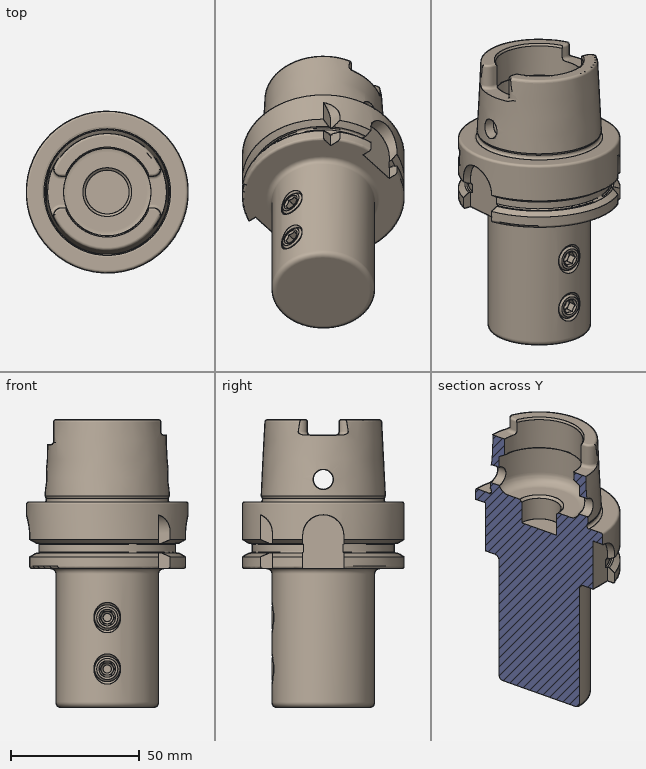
import cadquery as cq
import math


shank_height = 32.0
flange_thickness = 26.0
body_length = 80.0

gauge_radius = 24.0
gauge_height = 6.3
taper_slope = 0.05
taper_start = 2.2
rim_fillet = 1.1

neck_radius = 23.75
neck_top = 1.4
undercut_depth = 0.2
undercut_fillet = 0.9
undercut_rim_radius = 25.4

flange_radius = 31.5
flange_fillet = 1.0
groove_center_z = -18.0
groove_mouth = 6.75
groove_throat = 3.8
groove_throat_radius = 29.0
groove_floor_radius = 27.7
groove_fillet = 0.5

body_radius = 20.0
body_fillet = 2.0
body_neck_fillet = 2.0

bore_lip_radius = 17.0
bore_lip_bottom = 18.9
bore_chamfer = 0.5
bore_chamfer_height = 0.9
bore_recess_radius = 19.85
bore_recess_slope = 30.0
bore_floor_z = 2.1
bore_floor_fillet = 4.3
coolant_hole_radius = 8.5
coolant_hole_chamfer = 1.0
coolant_hole_depth = 10.0

drive_slot_width = 12.3
drive_slot_depth_left = 9.7
drive_slot_depth_right = 6.0
drive_slot_lead_radius = 3.0
drive_slot_outer_radius = 23.05
drive_slot_runout = 5.0
drive_slot_floor_fillet = 1.3
drive_slot_mouth_fillet = 0.9

access_hole_diameter = 7.7
access_hole_z = 8.75

keyway_width_left = 18.2
keyway_width_right = 16.0
keyway_top_z = -5.0
keyway_floor = 26.6
notch_floor_x = 19.94
notch_wall_y = -19.8
notch_radius = 7.6
notch_arch_z = -12.0
chip_pocket_length = 20.0
chip_pocket_height = 6.0
chip_pocket_top_z = -4.0
chip_pocket_floor = 29.87
chip_pocket_direction = 135.0

screw_levels = (-45.0, -65.0)
screw_radius = 4.95
screw_length = 6.0
screw_chamfer = 0.85
countersink_radius = 5.9
hex_across_flats = 4.85
hex_depth = 4.0
hex_lead_radius = 3.2
hex_bottom_radius = 1.6

clearance = 5.0
SMALL = 0.01


def taper_radius(z):
    return gauge_radius - taper_slope * (z - gauge_height)


def shank():
    """Solid taper with the undercut at its foot, standing on the flange."""
    foot_z = -undercut_depth
    fillet_end_radius = neck_radius + undercut_fillet
    fillet_center = (fillet_end_radius, foot_z + undercut_fillet)
    diagonal = undercut_fillet * math.sqrt(0.5)
    profile = (
        cq.Workplane("YZ")
        .moveTo(0, -1)
        .lineTo(fillet_end_radius, -1)
        .lineTo(fillet_end_radius, foot_z)
        .threePointArc(
            (fillet_center[0] - diagonal, fillet_center[1] - diagonal),
            (neck_radius, fillet_center[1]),
        )
        .lineTo(neck_radius, neck_top)
        .lineTo(taper_radius(taper_start), taper_start)
        .lineTo(taper_radius(shank_height), shank_height)
        .lineTo(0, shank_height)
        .close()
    )
    return profile.revolve(360, (0, 0, 0), (0, 1, 0))


def flange():
    """Flange disc with the trapezoidal gripper groove and the undercut ring in its top face."""
    disc = cq.Workplane("XY").circle(flange_radius).extrude(-flange_thickness)
    disc = disc.edges().fillet(flange_fillet)
    half_mouth = groove_mouth / 2
    half_throat = groove_throat / 2
    groove = (
        cq.Workplane("YZ")
        .moveTo(groove_floor_radius, groove_center_z - half_throat)
        .lineTo(groove_throat_radius, groove_center_z - half_throat)
        .lineTo(flange_radius, groove_center_z - half_mouth)
        .lineTo(flange_radius + clearance, groove_center_z - half_mouth)
        .lineTo(flange_radius + clearance, groove_center_z + half_mouth)
        .lineTo(flange_radius, groove_center_z + half_mouth)
        .lineTo(groove_throat_radius, groove_center_z + half_throat)
        .lineTo(groove_floor_radius, groove_center_z + half_throat)
        .close()
        .revolve(360, (0, 0, 0), (0, 1, 0))
        .edges(cq.selectors.RadiusNthSelector(0))
        .fillet(groove_fillet)
    )
    undercut_ring = (
        cq.Workplane("YZ")
        .lineTo(undercut_rim_radius, 0)
        .lineTo(neck_radius + undercut_fillet, -undercut_depth)
        .lineTo(0, -undercut_depth)
        .close()
        .revolve(360, (0, 0, 0), (0, 1, 0))
    )
    return disc.cut(groove).cut(undercut_ring)


def body():
    """Cylinder below the flange, blended into the flange by a concave fillet."""
    blend_radius = body_radius + body_neck_fillet
    blend_z = -flange_thickness - body_neck_fillet
    diagonal = body_neck_fillet * math.sqrt(0.5)
    end_diagonal = body_fillet * math.sqrt(0.5)
    end_center = (body_radius - body_fillet, body_fillet - body_length)
    profile = (
        cq.Workplane("YZ")
        .moveTo(0, -flange_thickness / 2)
        .lineTo(blend_radius, -flange_thickness / 2)
        .lineTo(blend_radius, -flange_thickness)
        .threePointArc((blend_radius - diagonal, blend_z + diagonal), (body_radius, blend_z))
        .lineTo(body_radius, end_center[1])
        .threePointArc(
            (end_center[0] + end_diagonal, end_center[1] - end_diagonal),
            (end_center[0], -body_length),
        )
        .lineTo(0, -body_length)
        .close()
    )
    return profile.revolve(360, (0, 0, 0), (0, 1, 0))


def bore():
    """Clamping bore with a chamfered lip, wider recess, rounded floor and coolant hole."""
    recess_step = bore_recess_radius - bore_lip_radius
    recess_top = bore_lip_bottom - recess_step * math.tan(math.radians(bore_recess_slope))
    floor_radius = bore_recess_radius - bore_floor_fillet
    fillet_center_z = bore_floor_z + bore_floor_fillet
    diagonal = bore_floor_fillet * math.sqrt(0.5)
    hole_bottom = bore_floor_z - coolant_hole_depth
    profile = (
        cq.Workplane("YZ")
        .moveTo(0, shank_height)
        .lineTo(bore_lip_radius + bore_chamfer, shank_height)
        .lineTo(bore_lip_radius, shank_height - bore_chamfer_height)
        .lineTo(bore_lip_radius, bore_lip_bottom)
        .lineTo(bore_recess_radius, recess_top)
        .lineTo(bore_recess_radius, fillet_center_z)
        .threePointArc((floor_radius + diagonal, fillet_center_z - diagonal), (floor_radius, bore_floor_z))
        .lineTo(coolant_hole_radius + coolant_hole_chamfer, bore_floor_z)
        .lineTo(coolant_hole_radius, bore_floor_z - coolant_hole_chamfer)
        .lineTo(coolant_hole_radius, hole_bottom)
        .lineTo(0, hole_bottom)
        .close()
    )
    return profile.revolve(360, (0, 0, 0), (0, 1, 0))


def drive_slot(side, depth):
    """Cutter for one drive slot; its walls curl around until tangent to the shank wall.

    A plate above the shank carries the concave fillet that rounds the slot's top edges.
    """
    half_width = drive_slot_width / 2
    lead = drive_slot_lead_radius
    lead_center_y = half_width + lead
    lead_center_distance = drive_slot_outer_radius - lead
    lead_center_x = math.sqrt(lead_center_distance**2 - lead_center_y**2)
    end_angle = math.atan2(lead_center_y, lead_center_x)
    middle_angle = (end_angle - math.pi / 2) / 2
    middle_x = lead_center_x + lead * math.cos(middle_angle)
    middle_y = lead_center_y + lead * math.sin(middle_angle)
    end_x = drive_slot_outer_radius * math.cos(end_angle)
    end_y = drive_slot_outer_radius * math.sin(end_angle)
    tip_x = end_x - drive_slot_runout * math.sin(end_angle)
    tip_y = end_y + drive_slot_runout * math.cos(end_angle)
    outer_x = flange_radius
    slot = (
        cq.Workplane("XY")
        .workplane(offset=shank_height - depth)
        .moveTo(0, -half_width)
        .lineTo(lead_center_x, -half_width)
        .threePointArc((middle_x, -middle_y), (end_x, -end_y))
        .lineTo(tip_x, -tip_y)
        .lineTo(outer_x, -tip_y)
        .lineTo(outer_x, tip_y)
        .lineTo(tip_x, tip_y)
        .lineTo(end_x, end_y)
        .threePointArc((middle_x, middle_y), (lead_center_x, half_width))
        .lineTo(0, half_width)
        .close()
        .extrude(depth)
    )
    slot = slot.faces("<Z").edges("not(<X or >X)").fillet(drive_slot_floor_fillet)
    plate = (
        cq.Workplane("XY")
        .workplane(offset=shank_height)
        .rect(flange_radius, 2 * flange_radius)
        .extrude(clearance)
        .translate((flange_radius / 2, 0, 0))
    )
    cutter = slot.union(plate)
    mouth = cq.selectors.BoxSelector(
        (SMALL, -flange_radius + SMALL, shank_height - SMALL),
        (flange_radius - SMALL, flange_radius - SMALL, shank_height + SMALL),
    )
    cutter = cutter.edges(mouth).fillet(drive_slot_mouth_fillet)
    if side < 0:
        cutter = cutter.rotate((0, 0, 0), (0, 0, 1), 180)
    return cutter


def access_hole():
    return (
        cq.Workplane("YZ")
        .center(0, access_hole_z)
        .circle(access_hole_diameter / 2)
        .extrude(flange_radius, both=True)
    )


def arched_slot(center_y, radius, arch_z, start_x, end_x):
    """Slot cutter along X with a round top, open at the bottom of the flange."""
    bottom_z = -flange_thickness - clearance
    return (
        cq.Workplane("YZ")
        .workplane(offset=start_x)
        .moveTo(center_y - radius, bottom_z)
        .lineTo(center_y - radius, arch_z)
        .threePointArc((center_y, arch_z + radius), (center_y + radius, arch_z))
        .lineTo(center_y + radius, bottom_z)
        .close()
        .extrude(end_x - start_x)
    )


def chip_pocket():
    """Flat-bottomed recess for a data chip in the flange rim."""
    depth = flange_radius + clearance - chip_pocket_floor
    center = (chip_pocket_floor + depth / 2, 0, chip_pocket_top_z - chip_pocket_height / 2)
    cutter = cq.Workplane("XY").box(depth, chip_pocket_length, chip_pocket_height).translate(center)
    return cutter.rotate((0, 0, 0), (0, 0, 1), chip_pocket_direction)


def cone_toward_axis(base_radius, top_radius, depth, surface_y, z):
    """Cone with its base at surface_y that narrows in the +Y direction."""
    return cq.Workplane(
        cq.Solid.makeCone(base_radius, top_radius, depth, cq.Vector(0, surface_y, z), cq.Vector(0, 1, 0))
    )


def add_screw(part, z):
    """Countersink with a hexagon-socket set screw flush with the body surface."""
    surface_y = -body_radius
    countersink_depth = countersink_radius - screw_radius
    countersink = cone_toward_axis(countersink_radius, screw_radius, countersink_depth, surface_y, z)
    face_plane = cq.Workplane(cq.Plane((0, surface_y, z), (1, 0, 0), (0, 1, 0)))
    screw = face_plane.circle(screw_radius).extrude(screw_length).faces("<Y").chamfer(screw_chamfer)
    hex_corner_diameter = hex_across_flats / math.cos(math.pi / 6)
    socket = face_plane.polygon(6, hex_corner_diameter).extrude(hex_depth)
    flat_radius = hex_across_flats / 2
    lead = cone_toward_axis(hex_lead_radius, flat_radius, hex_lead_radius - flat_radius, surface_y, z)
    bottom = cone_toward_axis(
        flat_radius, hex_bottom_radius, flat_radius - hex_bottom_radius, surface_y + hex_depth, z
    )
    return part.cut(countersink).union(screw).cut(socket).cut(lead).cut(bottom)


shank_solid = shank().faces(">Z").edges().fillet(rim_fillet)
shank_solid = shank_solid.cut(drive_slot(-1, drive_slot_depth_left))
shank_solid = shank_solid.cut(drive_slot(1, drive_slot_depth_right))

result = flange().union(shank_solid).union(body())
result = result.cut(bore()).cut(access_hole())

flange_limit = flange_radius + clearance
radius_left = keyway_width_left / 2
radius_right = keyway_width_right / 2
notch_center_y = notch_wall_y - notch_radius
keyway_left = arched_slot(0, radius_left, keyway_top_z - radius_left, -flange_limit, -keyway_floor)
keyway_right = arched_slot(0, radius_right, keyway_top_z - radius_right, keyway_floor, flange_limit)
notch = arched_slot(notch_center_y, notch_radius, notch_arch_z, notch_floor_x, flange_limit)
result = result.cut(keyway_left).cut(keyway_right).cut(notch)
result = result.cut(chip_pocket())

for screw_z in screw_levels:
    result = add_screw(result, screw_z)